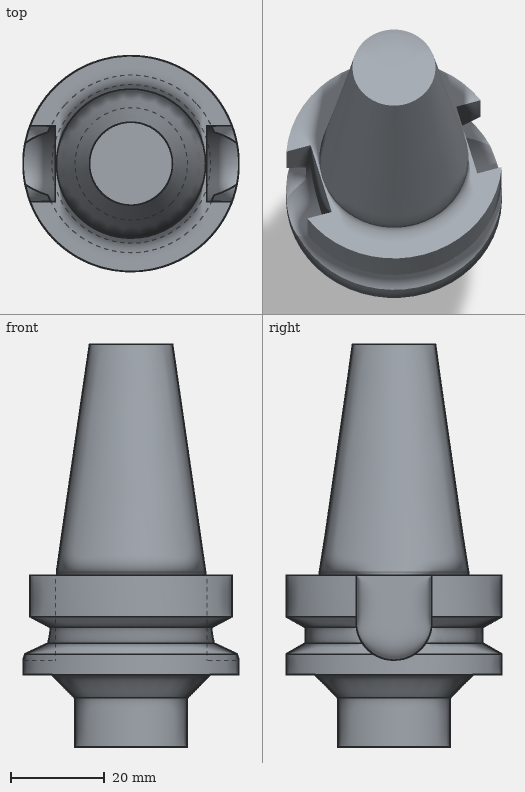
import cadquery as cq

total_height = 85.9
flange_diameter = 46.0

nose_diameter = 24.0
nose_height = 10.5
collar_diameter = 33.85

flange_bottom = 15.5
lower_rim_top = 19.8
groove_bottom = 22.2
groove_top = 25.5
upper_rim_bottom = 27.8
flange_top = 36.7
groove_diameter = 37.9

shank_diameter = 31.8
shank_tip_diameter = 17.7
taper_start = 37.4

slot_width = 16.15
slot_bottom = 18.55
slot_floor_offset = 16.15


def revolved_body():
    """Turn the whole holder about Z from its half profile."""
    profile = [
        (0, 0),
        (nose_diameter / 2, 0),
        (nose_diameter / 2, nose_height),
        (collar_diameter / 2, flange_bottom),
        (flange_diameter / 2, flange_bottom),
        (flange_diameter / 2, lower_rim_top),
        (groove_diameter / 2, groove_bottom),
        (groove_diameter / 2, groove_top),
        (flange_diameter / 2, upper_rim_bottom),
        (flange_diameter / 2, flange_top),
        (shank_diameter / 2, flange_top),
        (shank_diameter / 2, taper_start),
        (shank_tip_diameter / 2, total_height),
        (0, total_height),
    ]
    return cq.Workplane("XZ").polyline(profile).close().revolve(360, (0, 0, 0), (0, 1, 0))


def drive_slot(side):
    """Return the slot cutter on the +X (side = 1) or -X (side = -1) flank."""
    radius = slot_width / 2
    arc_center = slot_bottom + radius
    return (
        cq.Workplane("YZ", origin=(side * slot_floor_offset, 0, 0))
        .moveTo(-radius, flange_top)
        .lineTo(-radius, arc_center)
        .threePointArc((0, slot_bottom), (radius, arc_center))
        .lineTo(radius, flange_top)
        .close()
        .extrude(side * flange_diameter / 2)
    )


result = revolved_body()
for side in (-1, 1):
    result = result.cut(drive_slot(side))